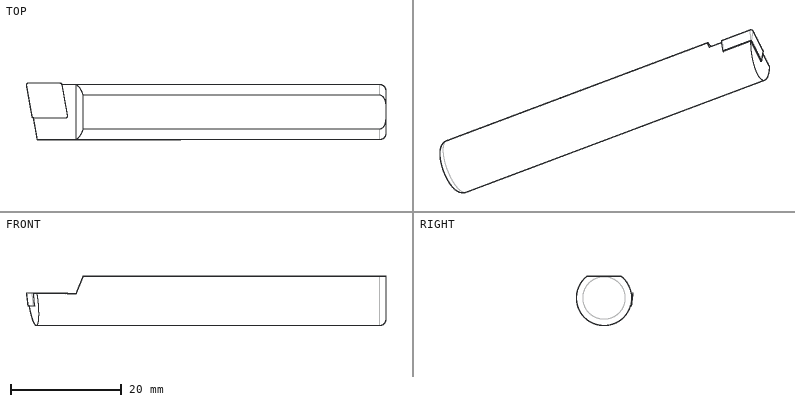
import cadquery as cq
import math

total_length = 65.0
shank_radius = 5.0
flat_height = 3.95
rear_rounding = 1.2

ledge_height = 0.8
shoulder_start = 9.0
shoulder_angle = 22.0

insert_height = 6.4
insert_thickness = 2.35
insert_top = 0.9
insert_edge_y = 5.25
corner_radius = 0.4
lead_angle = 10.0
relief_angle = 7.0
holder_setback = 0.2

lead_slope = math.tan(math.radians(lead_angle))
lead_cosine = math.cos(math.radians(lead_angle))
relief_slope = math.tan(math.radians(relief_angle))
insert_side = insert_height / lead_cosine

sharp_corner_x = -corner_radius * (lead_slope + 1 / lead_cosine - 1)


def front_x(y, z):
    """X of the inclined plane through the front side of the insert."""
    return sharp_corner_x + (insert_edge_y - y) * lead_slope + (insert_top - z) * relief_slope / lead_cosine


def rhombus_wire(depth):
    """Rounded insert outline at a depth below its top face."""
    inset = depth * relief_slope
    z = insert_top - depth
    outer_y = insert_edge_y - inset
    inner_y = insert_edge_y - insert_height + inset
    side = insert_side - 2 * inset / lead_cosine
    outer_x = front_x(outer_y, z)
    inner_x = front_x(inner_y, z)
    corners = [
        (outer_x, outer_y, z),
        (outer_x + side, outer_y, z),
        (inner_x + side, inner_y, z),
        (inner_x, inner_y, z),
    ]
    outline = cq.Wire.makePolygon([cq.Vector(*corner) for corner in corners], close=True)
    return outline.fillet2D(corner_radius - inset, outline.Vertices())


def make_insert():
    """Rhombic plate with relieved sides and conical corners."""
    return cq.Solid.makeLoft([rhombus_wire(0), rhombus_wire(insert_thickness)], True)


def front_waste():
    """Block ahead of the inclined front face of the holder."""
    reach = 2 * shank_radius

    def section(z):
        return cq.Wire.makePolygon(
            [
                cq.Vector(front_x(reach, z) + holder_setback, reach, z),
                cq.Vector(front_x(-reach, z) + holder_setback, -reach, z),
                cq.Vector(-reach, -reach, z),
                cq.Vector(-reach, reach, z),
            ],
            close=True,
        )

    return cq.Workplane(cq.Solid.makeLoft([section(-reach), section(reach)], True))


def ledge_waste():
    """Material above the ledge, ahead of the sloping shoulder."""
    top = shank_radius
    slope = math.tan(math.radians(shoulder_angle))
    shoulder_end = shoulder_start + (top - ledge_height) * slope
    return (
        cq.Workplane("XZ")
        .polyline([(0, ledge_height), (shoulder_start, ledge_height), (shoulder_end, top), (0, top)])
        .close()
        .extrude(shank_radius, both=True)
    )


def make_holder(insert):
    """Flatted shank with rounded rear, insert ledge and matching insert pocket."""
    shank = cq.Workplane("YZ").circle(shank_radius).extrude(total_length)
    shank = shank.faces(">X").edges().fillet(rear_rounding)
    flat_waste = (
        cq.Workplane("XY")
        .workplane(offset=flat_height)
        .rect(2 * total_length, 2 * shank_radius)
        .extrude(shank_radius)
    )
    shank = shank.cut(flat_waste).cut(ledge_waste()).cut(front_waste())
    return shank.cut(cq.Workplane(insert)).solids().val()


insert = make_insert()
holder = make_holder(insert)

result = cq.Compound.makeCompound([holder, insert])